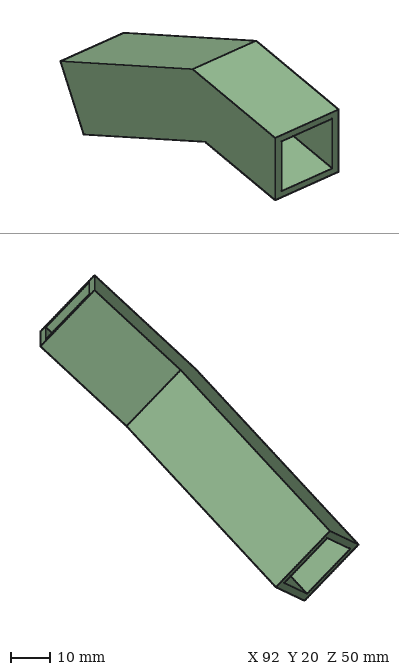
import cadquery as cq
import math

overall_length = 92.0
tube_size = 20.0
wall = 2.0
bend_angle = math.radians(30)
level_leg = 30.0

sloping_leg = (overall_length - level_leg - tube_size * math.sin(bend_angle)) / math.cos(bend_angle)


def bent_bar(inset):
    """Bent square bar whose four sides lie the given distance inside the tube's outer faces."""

    def end_points(height):
        """Sloping end, bend and level end of a line this high above the tube's underside."""
        bend_x = -height * math.tan(bend_angle / 2)
        sloping_end_x = -sloping_leg * math.cos(bend_angle) - height * math.sin(bend_angle)
        sloping_end_z = -sloping_leg * math.sin(bend_angle) + height * math.cos(bend_angle)
        return [(sloping_end_x, sloping_end_z), (bend_x, height), (level_leg, height)]

    lower = end_points(inset)
    upper = end_points(tube_size - inset)
    half_width = tube_size / 2 - inset
    return cq.Workplane("XZ").polyline(lower + upper[::-1]).close().extrude(half_width, both=True)


result = bent_bar(0).cut(bent_bar(wall))